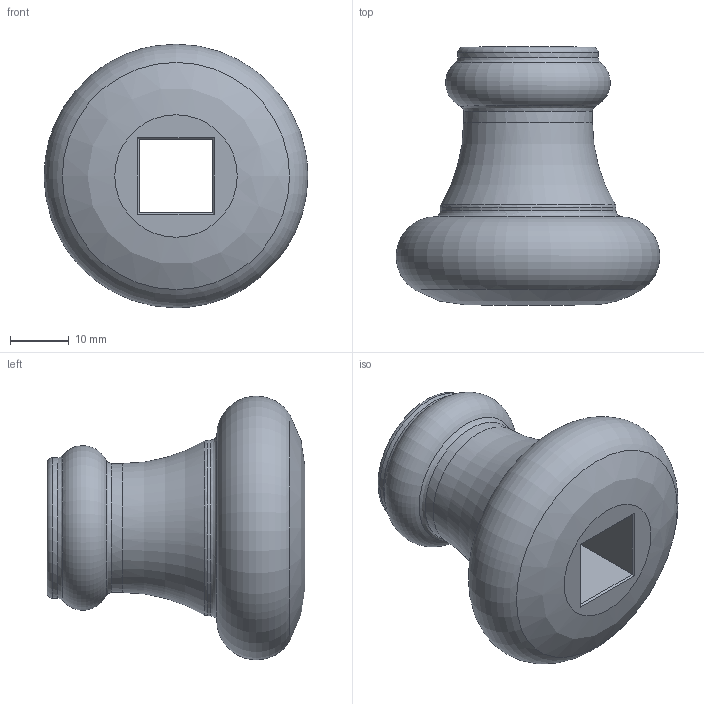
import cadquery as cq
import math

length = 44.0

base_radius = 22.5
base_round = 6.75
base_center_r = base_radius - base_round
base_back_y = 15.05
base_center_y = base_back_y - base_round
front_flat_radius = 10.45

shoulder_radius = 15.0
neck_radius = 11.0
flare_radius = 27.0
flare_end_y = 31.1

bead_radius = 14.05
bead_round = 4.4
bead_center_r = bead_radius - bead_round
bead_center_y = 37.9

collar_radius = 12.0
edge_fillet = 1.0

hole_side = 12.5
hole_chamfer = 0.3


def circle_y_offset(section_radius, radial_offset):
    """Axial distance from a section circle's center to its point at a radial offset."""
    return math.sqrt(section_radius**2 - radial_offset**2)


dome_offset = base_center_r - front_flat_radius
dome_radius = (dome_offset**2 + base_center_y**2 - base_round**2) / (2 * (base_center_y - base_round))
rim_direction_r = dome_offset / (dome_radius - base_round)
rim_direction_y = (base_center_y - dome_radius) / (dome_radius - base_round)
dome_end = (
    base_center_r + base_round * rim_direction_r,
    base_center_y + base_round * rim_direction_y,
)
dome_half_angle = math.asin(rim_direction_r) / 2
dome_middle = (
    front_flat_radius + dome_radius * math.sin(dome_half_angle),
    dome_radius * (1 - math.cos(dome_half_angle)),
)

flare_center_r = neck_radius + flare_radius
flare_start_y = flare_end_y - circle_y_offset(flare_radius, flare_center_r - shoulder_radius)
flare_half_angle = math.asin((flare_end_y - flare_start_y) / flare_radius) / 2
flare_middle = (
    flare_center_r - flare_radius * math.cos(flare_half_angle),
    flare_end_y - flare_radius * math.sin(flare_half_angle),
)

bead_front_y = bead_center_y - circle_y_offset(bead_round, neck_radius - bead_center_r)
bead_back_y = bead_center_y + circle_y_offset(bead_round, collar_radius - bead_center_r)


def turned_body():
    """Revolve the sharp-cornered half section, drawn as (radius, y)."""
    section = (
        cq.Workplane("XY")
        .moveTo(0, 0)
        .lineTo(front_flat_radius, 0)
        .threePointArc(dome_middle, dome_end)
        .threePointArc((base_radius, base_center_y), (base_center_r, base_back_y))
        .lineTo(shoulder_radius, base_back_y)
        .lineTo(shoulder_radius, flare_start_y)
        .threePointArc(flare_middle, (neck_radius, flare_end_y))
        .lineTo(neck_radius, bead_front_y)
        .threePointArc((bead_radius, bead_center_y), (collar_radius, bead_back_y))
        .lineTo(collar_radius, length)
        .lineTo(0, length)
        .close()
    )
    return section.revolve(360, (0, 0, 0), (0, 1, 0))


def round_ring_edge(body, radius, y):
    """Fillet the circular edge of the given radius at axial position y."""
    margin = 0.05
    reach = radius + margin
    ring = cq.selectors.BoxSelector((-reach, y - margin, -reach), (reach, y + margin, reach))
    return body.edges("%CIRCLE").edges(ring).fillet(edge_fillet)


def square_cutter():
    """Square bar along Y, with a chamfered mouth at the front."""
    bar = cq.Workplane("XZ").rect(hole_side, hole_side).extrude(-length)
    mouth_side = hole_side + 2 * hole_chamfer
    mouth = (
        cq.Workplane("XZ")
        .rect(mouth_side, mouth_side)
        .workplane(offset=-hole_chamfer)
        .rect(hole_side, hole_side)
        .loft(ruled=True)
    )
    return bar.union(mouth)


body = turned_body()
rounded_edges = [
    (shoulder_radius, base_back_y),
    (shoulder_radius, flare_start_y),
    (neck_radius, bead_front_y),
    (collar_radius, bead_back_y),
    (collar_radius, length),
]
for edge_radius, edge_y in rounded_edges:
    body = round_ring_edge(body, edge_radius, edge_y)

result = body.cut(square_cutter())